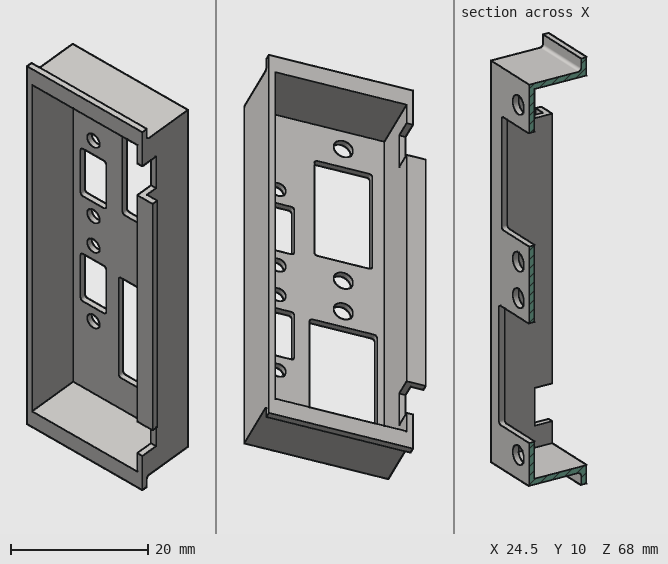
import cadquery as cq

body_width = 22.5
body_depth = 10.0
body_height = 64.0
wall = 1.0

lip_height = 2.0
lip_thickness = 1.0
lip_fillet = 0.5

tab_width = 2.0
tab_thickness = 1.0
tab_height = 43.0
notch_height = 6.0
notch_depth = 3.0

connector_center_z = -0.2
large_column_x = 15.1
large_offset_z = 15.4
large_screw_spacing = 25.0
large_screw_diameter = 3.0
upper_large_window = (9.0, 18.0)
lower_large_window = (10.5, 19.0)

small_column_x = 4.92
small_offset_z = 9.98
small_screw_spacing = 14.35
small_screw_diameter = 2.4
small_window = (5.0, 9.0)

window_corner_radius = 0.5


def box(x_range, y_range, z_range):
    """Axis-aligned block between the given limits."""
    sizes = [high - low for low, high in (x_range, y_range, z_range)]
    corner = (x_range[0], y_range[0], z_range[0])
    return cq.Workplane("XY").box(*sizes, centered=False).translate(corner)


def make_flanged_block():
    """Solid block with the two lips, filleted where they meet the block."""
    body_top = body_height / 2
    lip_top = body_top + lip_height
    block = box((0, body_width), (0, body_depth), (-body_top, body_top))
    lips = box((0, body_width), (0, lip_thickness), (-lip_top, lip_top))
    flanged = block.union(lips)
    for z in (-body_top, body_top):
        inner_corner = cq.selectors.NearestToPointSelector((body_width / 2, lip_thickness, z))
        flanged = flanged.edges("|X").edges(inner_corner).fillet(lip_fillet)
    return flanged


def make_cavity():
    """Space inside the four walls, stopping at the connector panel."""
    cavity_top = body_height / 2 - wall
    return box((wall, body_width - wall), (0, body_depth - wall), (-cavity_top, cavity_top))


def make_tab():
    """Tab projecting outward from the open edge of the +X wall."""
    tab_top = tab_height / 2
    return box((body_width - wall, body_width + tab_width), (0, tab_thickness), (-tab_top, tab_top))


def make_notches():
    """Cuts through the +X wall just beyond both ends of the tab."""
    inner_end = tab_height / 2
    outer_end = inner_end + notch_height
    x_range = (body_width - wall, body_width)
    upper = box(x_range, (0, notch_depth), (inner_end, outer_end))
    lower = box(x_range, (0, notch_depth), (-outer_end, -inner_end))
    return upper.union(lower)


def make_connector_cutout(x, z, window, screw_spacing, screw_diameter):
    """Panel cut of one connector: rounded window with a screw hole above and below."""
    width, height = window
    panel_x = (x - width / 2, x + width / 2)
    panel_y = (body_depth - wall, body_depth)
    panel_z = (z - height / 2, z + height / 2)
    cutout = box(panel_x, panel_y, panel_z).edges("|Y").fillet(window_corner_radius)
    screw_holes = (
        cq.Workplane("XZ", origin=(x, body_depth, z))
        .pushPoints([(0, -screw_spacing / 2), (0, screw_spacing / 2)])
        .circle(screw_diameter / 2)
        .extrude(wall)
    )
    return cutout.union(screw_holes)


def make_large_cutouts():
    """Panel cuts for the two large connectors, which have different windows."""
    upper = make_connector_cutout(
        large_column_x,
        connector_center_z + large_offset_z,
        upper_large_window,
        large_screw_spacing,
        large_screw_diameter,
    )
    lower = make_connector_cutout(
        large_column_x,
        connector_center_z - large_offset_z,
        lower_large_window,
        large_screw_spacing,
        large_screw_diameter,
    )
    return upper.union(lower)


def make_small_cutouts():
    """Panel cuts for the two identical small connectors."""
    cutouts = cq.Workplane("XY")
    for offset in (small_offset_z, -small_offset_z):
        cutout = make_connector_cutout(
            small_column_x,
            connector_center_z + offset,
            small_window,
            small_screw_spacing,
            small_screw_diameter,
        )
        cutouts = cutouts.add(cutout)
    return cutouts.combine()


tray = make_flanged_block().cut(make_cavity()).union(make_tab()).cut(make_notches())
result = tray.cut(make_large_cutouts()).cut(make_small_cutouts())